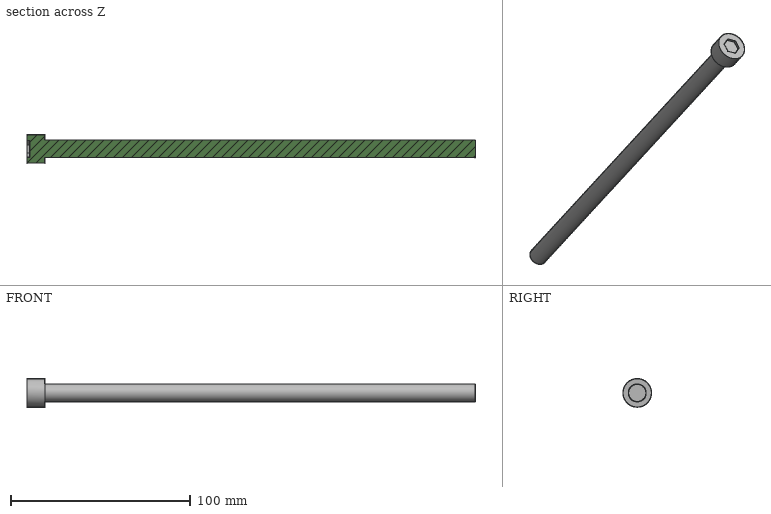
import cadquery as cq
import math

shank_diameter = 10.0
overall_length = 250.0
head_diameter = 16.0
head_height = shank_diameter
shank_length = overall_length - head_height
tip_chamfer = 0.2

socket_sides = 6
socket_across_flats = 8.0
socket_across_corners = socket_across_flats / math.cos(math.pi / socket_sides)
socket_depth = 1.5


def section_plane(x):
    """Sketch plane across the screw axis at position x, facing +X."""
    return cq.Workplane("YZ").workplane(offset=x)


def make_head():
    return section_plane(-head_height).circle(head_diameter / 2).extrude(head_height)


def make_shank():
    shank = section_plane(0).circle(shank_diameter / 2).extrude(shank_length)
    return shank.faces(">X").chamfer(tip_chamfer)


def make_hex_socket():
    """Hexagonal prism sunk into the head face, with two corners along Y."""
    hexagon = section_plane(-head_height).polygon(socket_sides, socket_across_corners)
    return hexagon.extrude(socket_depth)


result = make_head().union(make_shank()).cut(make_hex_socket())